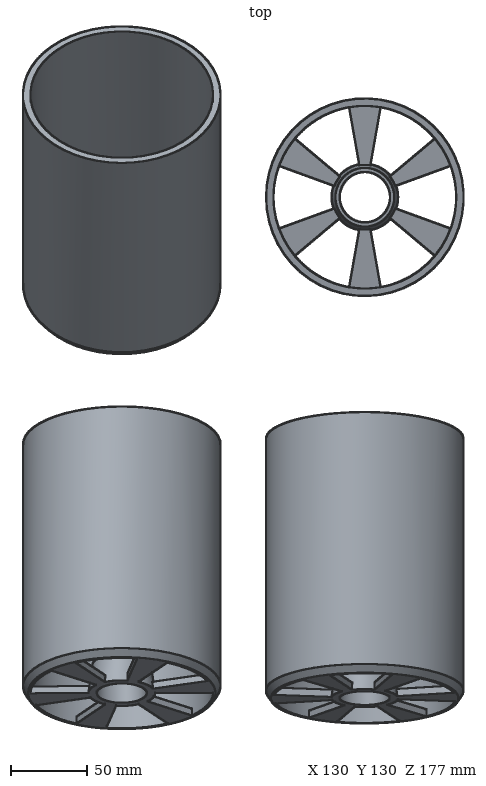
import cadquery as cq
import math

height = 177.0
outer_radius = 65.0
wall = 5.0
inner_radius = outer_radius - wall

bevel_height = 5.0
bevel_width = 3.4

hub_base_radius = 22.0
hub_top_radius = 19.3
bore_radius = 16.5
floor_height = bevel_height
hub_height = 20.0
spoke_count = 6
spoke_angle = 20.0
spoke_overlap = 0.5
first_spoke_angle = 90.0


def make_tube():
    """Open tube whose outer bottom edge is bevelled."""
    profile = [
        (-inner_radius, 0),
        (bevel_width - outer_radius, 0),
        (-outer_radius, bevel_height),
        (-outer_radius, height),
        (-inner_radius, height),
    ]
    return cq.Workplane("XZ").polyline(profile).close().revolve(360, (0, 0, 0), (0, 1, 0))


def make_hub():
    """Solid central cone that narrows slightly toward its top."""
    profile = [(0, 0), (-hub_base_radius, 0), (-hub_top_radius, hub_height), (0, hub_height)]
    return cq.Workplane("XZ").polyline(profile).close().revolve(360, (0, 0, 0), (0, 1, 0))


def make_spoke(direction):
    """Wedge centred on the given direction, reaching from the axis into the tube wall."""
    reach = inner_radius + spoke_overlap
    half_angle = math.radians(spoke_angle / 2)
    start = (reach * math.cos(half_angle), -reach * math.sin(half_angle))
    end = (start[0], -start[1])
    wedge = cq.Workplane("XY").moveTo(0, 0).lineTo(*start).threePointArc((reach, 0), end).close()
    return wedge.extrude(floor_height).rotate((0, 0, 0), (0, 0, 1), direction)


result = make_tube().union(make_hub())
for index in range(spoke_count):
    result = result.union(make_spoke(first_spoke_angle + index * 360 / spoke_count))

bore = cq.Workplane("XY").circle(bore_radius).extrude(hub_height)
result = result.cut(bore)